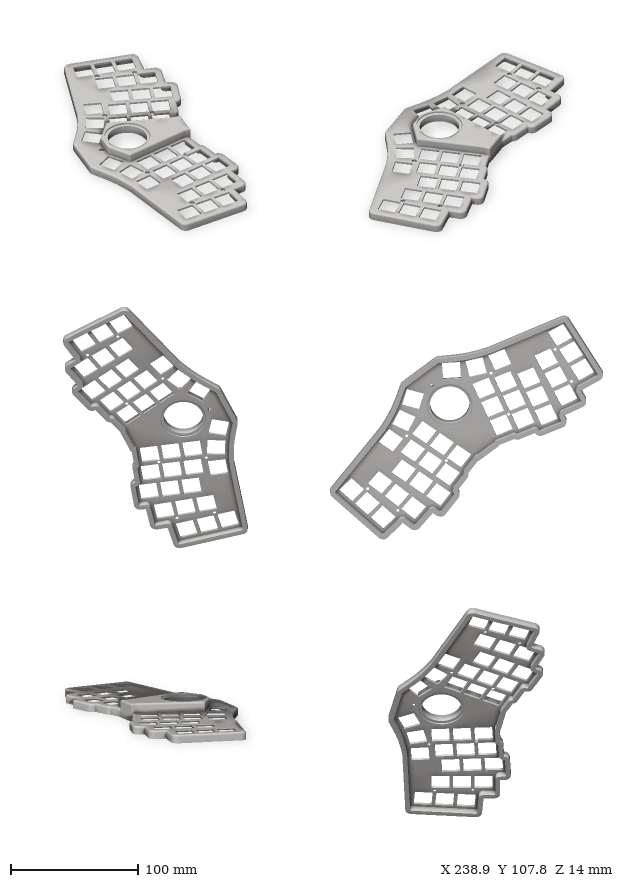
import cadquery as cq
import math

PLATE_HEIGHT = 6.7
TOTAL_HEIGHT = 14.0
EDGE_FILLET = 1.7

KEY_OPENING = 14.0
CELL_WIDTH = 18.0
CELL_LENGTH = 17.0
KEYS_PER_COLUMN = 3
MARGIN = 4.5
SLAB_WIDTH = CELL_WIDTH + 2 * MARGIN
SLAB_LENGTH = KEYS_PER_COLUMN * CELL_LENGTH + 2 * MARGIN
CORNER_RADIUS = 5.0

COLUMNS = [
    (102.5, 9.8, 8),
    (80.0, 19.0, 12),
    (58.5, 22.5, 15),
    (42.3, 13.6, 15),
    (25.5, 7.2, 15),
]
THUMB_KEYS = [(54.8, -20.3, 15), (36.3, -27.0, 25), (19.4, -36.8, 35)]

FRONT_CORNER = (17.7, -53.93)
FRONT_EDGE = [(67.7, -31.3), (53.5, -35.0), (45.7, -38.0), (37.8, -41.5), (30.5, -45.7), FRONT_CORNER]

SKIN = 1.7
RIM = 3.8

BLOCK_HALF = [(10.3, 34.7), (10.3, 30.0), (24.2, -22.7), (7.2, -34.7)]
BLOCK_WIDEST = BLOCK_HALF[2]
BLOCK_CORNER_RADIUS = 1.2
BALL_Y = -14.8
BALL_HOLE_DIAMETER = 31.0
BALL_SEAT_DIAMETER = 36.0
BALL_SEAT_DEPTH = 1.5
BALL_RELIEF_HEIGHT = 6.2

SCREW_DIAMETER = 2.5
SCREW_HEAD_DIAMETER = 4.0
SCREW_HEAD_DEPTH = 1.5
SIDE_SCREWS = [(87.5, 29.2), (94.5, 0.0), (42.5, -15.8), (31.3, 20.0)]
FRONT_SCREW = (0.0, -36.8)


def mirrored(half):
    """Close a +X half outline with its mirror image."""
    return half + [(-x, y) for x, y in reversed(half)]


def prism(points, height):
    return cq.Workplane("XY").polyline(points).close().extrude(height)


def round_upright_edge(body, point, radius):
    """Fillet the vertical edges at the point and at its mirror image."""
    for x, y in mirrored([point]):
        near = cq.selectors.BoxSelector((x - 0.2, y - 0.2, -2.5), (x + 0.2, y + 0.2, TOTAL_HEIGHT + 2.5))
        body = body.edges("|Z").edges(near).fillet(radius)
    return body


def place(key, across, along):
    """Position of a point given in the leaning frame of a key."""
    x, y, lean = key
    c = math.cos(math.radians(lean))
    s = math.sin(math.radians(lean))
    return (x + across * c - along * s, y + across * s + along * c)


def stand(body, key, along=0):
    """Move a body to a key, together with its mirror image."""
    x, y = place(key, 0, along)
    body = body.rotate((0, 0, 0), (0, 0, 1), key[2]).translate((x, y, 0))
    return body.union(body.mirror("YZ"))


outer = COLUMNS[0]
outer_corner = place(outer, SLAB_WIDTH / 2, -SLAB_LENGTH / 2)
base_half = [place(column, 0, CELL_LENGTH) for column in reversed(COLUMNS)]
base_half += [place(outer, SLAB_WIDTH / 2, 0), outer_corner] + FRONT_EDGE
plate = prism(mirrored(base_half), PLATE_HEIGHT)
plate = round_upright_edge(plate, outer_corner, CORNER_RADIUS)
plate = round_upright_edge(plate, FRONT_CORNER, CORNER_RADIUS)
slab = cq.Workplane("XY").rect(SLAB_WIDTH, SLAB_LENGTH).extrude(PLATE_HEIGHT).edges("|Z").fillet(CORNER_RADIUS)
for column in COLUMNS:
    plate = plate.union(stand(slab, column))
plate = plate.union(prism(mirrored(BLOCK_HALF[:3]), PLATE_HEIGHT)).clean()

recess_height = PLATE_HEIGHT - SKIN
recess = plate.faces("<Z").wires().toPending().offset2D(-RIM, "arc").extrude(recess_height, combine=False)
plate = plate.faces(">Z").edges().fillet(EDGE_FILLET)

block = prism(mirrored(BLOCK_HALF), TOTAL_HEIGHT)
block = block.faces(">Z").edges().fillet(EDGE_FILLET)
block = round_upright_edge(block, BLOCK_WIDEST, BLOCK_CORNER_RADIUS)

result = plate.union(block).cut(recess)

key_cutter = cq.Workplane("XY").rect(KEY_OPENING, KEY_OPENING).extrude(PLATE_HEIGHT)
for column in COLUMNS:
    for row in range(KEYS_PER_COLUMN):
        along = (row - (KEYS_PER_COLUMN - 1) / 2) * CELL_LENGTH
        result = result.cut(stand(key_cutter, column, along))
for key in THUMB_KEYS:
    result = result.cut(stand(key_cutter, key))

screws = cq.Workplane("XY").pushPoints(mirrored(SIDE_SCREWS) + [FRONT_SCREW])
result = result.cut(screws.circle(SCREW_DIAMETER / 2).extrude(PLATE_HEIGHT))
heads = screws.circle(SCREW_HEAD_DIAMETER / 2).extrude(SCREW_HEAD_DEPTH)
result = result.cut(heads.translate((0, 0, PLATE_HEIGHT - SCREW_HEAD_DEPTH)))

ball = cq.Workplane("XY").center(0, BALL_Y)
result = result.cut(ball.circle(BALL_HOLE_DIAMETER / 2).extrude(TOTAL_HEIGHT))
seat = ball.circle(BALL_SEAT_DIAMETER / 2).extrude(BALL_SEAT_DEPTH)
result = result.cut(seat.translate((0, 0, TOTAL_HEIGHT - BALL_SEAT_DEPTH)))
result = result.cut(ball.circle(BALL_SEAT_DIAMETER / 2).extrude(BALL_RELIEF_HEIGHT))